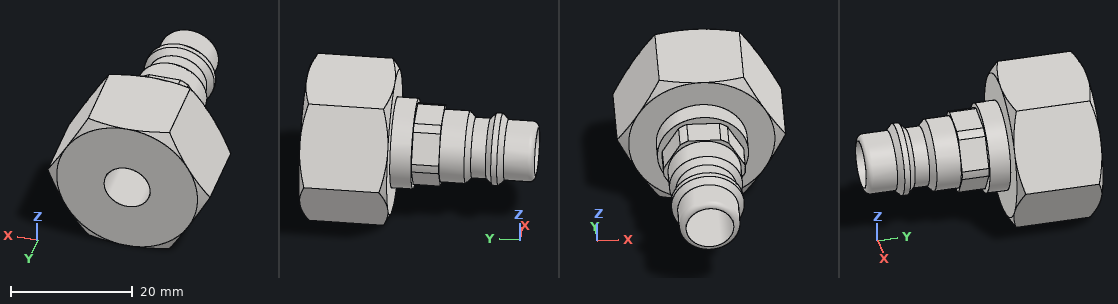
import cadquery as cq
import math

total_length = 38.0
nut_start = 23.5
collar_start = 20.0
small_hex_start = 15.5
shoulder_start = 11.4
groove_end = 10.4
rib_start = 6.0
rib_end = 7.0

nut_across_flats = 24.0
small_hex_across_flats = 12.35
small_hex_corner_radius = 6.73
collar_radius = 7.5
shoulder_radius = 6.0
neck_radius = 5.0
bore_radius = 3.9
tip_fillet = 1.0

bevel = shoulder_radius - neck_radius
nut_chamfer_angle = math.radians(30)


def across_corners(across_flats):
    return across_flats / math.cos(math.pi / 6)


def hex_prism(across_flats, start, end):
    """Hexagonal prism along Y with flats facing +Z and -Z."""
    section = cq.Workplane("XZ", origin=(0, start, 0)).polygon(6, across_corners(across_flats))
    return section.extrude(start - end)


def cylinder(radius, start, end):
    """Cylinder along Y."""
    return cq.Workplane("XZ", origin=(0, start, 0)).circle(radius).extrude(start - end)


def make_nut():
    """Hexagonal nut with its corners chamfered conically at both ends."""
    corner_radius = across_corners(nut_across_flats) / 2
    face_radius = nut_across_flats / 2
    chamfer_length = (corner_radius - face_radius) * math.tan(nut_chamfer_angle)
    envelope = (
        cq.Workplane("XY")
        .moveTo(0, nut_start)
        .lineTo(face_radius, nut_start)
        .lineTo(corner_radius, nut_start + chamfer_length)
        .lineTo(corner_radius, total_length - chamfer_length)
        .lineTo(face_radius, total_length)
        .lineTo(0, total_length)
        .close()
        .revolve(360, (0, 0, 0), (0, 1, 0))
    )
    return hex_prism(nut_across_flats, nut_start, total_length).intersect(envelope)


def make_small_hex():
    """Wrench hexagon with its corners turned down to a cylinder."""
    prism = hex_prism(small_hex_across_flats, small_hex_start, collar_start)
    return prism.intersect(cylinder(small_hex_corner_radius, small_hex_start, collar_start))


def make_plug():
    """Turned plug with a rounded tip, a locking rib and a groove behind it."""
    fillet_offset = tip_fillet * (1 - math.sqrt(0.5))
    return (
        cq.Workplane("XY")
        .lineTo(neck_radius - tip_fillet, 0)
        .threePointArc((neck_radius - fillet_offset, fillet_offset), (neck_radius, tip_fillet))
        .lineTo(neck_radius, rib_start - bevel)
        .lineTo(shoulder_radius, rib_start)
        .lineTo(shoulder_radius, rib_end)
        .lineTo(neck_radius, rib_end + bevel)
        .lineTo(neck_radius, groove_end)
        .lineTo(shoulder_radius, shoulder_start)
        .lineTo(shoulder_radius, small_hex_start)
        .lineTo(0, small_hex_start)
        .close()
        .revolve(360, (0, 0, 0), (0, 1, 0))
    )


collar = cylinder(collar_radius, collar_start, nut_start)
body = make_plug().union(make_small_hex()).union(collar).union(make_nut())
result = body.cut(cylinder(bore_radius, 0, total_length))